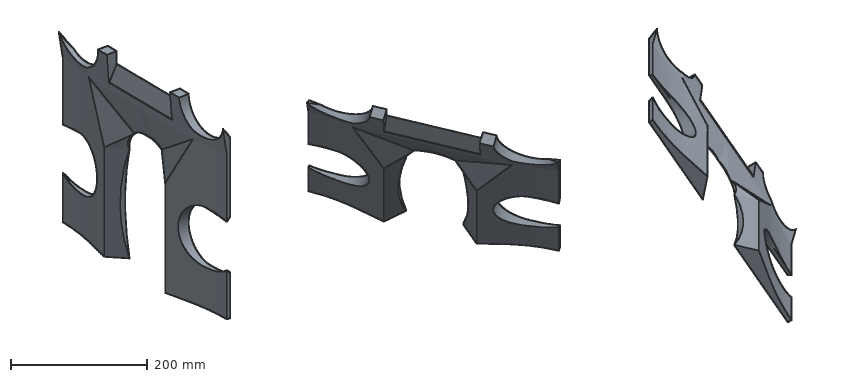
import cadquery as cq
import math

width = 381
height = 335.5
half = width / 2
edge_depth = 6.5
ridge_depth = 26.0
thin = 0.5

ridge_x = 70.5
ridge_top_z = 184.0
shoulder_x = 120.8
shoulder_z = 276.0
shoulder_depth = 14.0
wing_sag_x = 156.2
wing_sag_depth = 8.5
top_edge_depth = 16.5
top_sag_depth = 17.0
top_depth = 18.5

slot_half = 43.0
slot_bulge_half = 53.0
slot_bulge_z = 106.5
slot_spring_z = 184.0
arch_x = 31.2
arch_z = 215.0
arch_top_z = 223.3

notch_x = 143.3
notch_z = 336.5
notch_radius = 49.0
hole_inner_x = 94.0
hole_z = 119.5
hole_top_z = 170.0
hole_bottom_x = 150.5
hole_bottom_z = 69.5
hole_edge_top_z = 164.0
hole_edge_bottom_z = 83.0
hole_flank_x = 172.5
hole_flank_rise = 0.25
hole_flare = 7.0
flare_inner_x = 146.5
flare_inner_z = 287.3
flare_edge_z = 303.3
flare_depth = 13.7
flare_end_x = 165.0
tip_z = 321.0
bar_half = 73.0
bar_bottom_z = 288.0
bar_top_z = 314.5
margin = 19


def column(corners):
    """Solid from the back face to a triangle given as (x, depth, z) corners."""
    front = [cq.Vector(x, -depth, z) for x, depth, z in corners]
    back = [cq.Vector(x, 0, z) for x, depth, z in corners]
    loops = [front, back]
    for i in range(3):
        j = (i + 1) % 3
        loops.append([front[i], front[j], back[j]])
        loops.append([front[i], back[j], back[i]])
    faces = [cq.Face.makeFromWires(cq.Wire.makePolygon(loop, close=True)) for loop in loops]
    return cq.Workplane(cq.Solid.makeSolid(cq.Shell.makeShell(faces)).fix())


def wing():
    """Concave wing outside the ridge, with the inner flank below the arch."""
    profile = (
        cq.Workplane("XY")
        .moveTo(-half, 0)
        .lineTo(-half, -edge_depth)
        .threePointArc((-wing_sag_x, -wing_sag_depth), (-shoulder_x, -shoulder_depth))
        .lineTo(-ridge_x, -ridge_depth)
        .lineTo(-ridge_x, 0)
        .close()
        .extrude(shoulder_z)
    )
    inside = (
        cq.Workplane("XZ")
        .polyline([(-shoulder_x, shoulder_z), (-ridge_x, ridge_top_z), (-ridge_x, shoulder_z)])
        .close()
        .extrude(ridge_depth + margin)
    )
    flank = (
        cq.Workplane("XY")
        .polyline([(-ridge_x, 0), (-ridge_x, -ridge_depth), (-slot_half, -thin), (-slot_half, 0)])
        .close()
        .extrude(ridge_top_z)
    )
    return profile.cut(inside).union(flank)


def center_web():
    """Facets falling from the ridge and shoulder to the arch of the slot."""
    shoulder = (-shoulder_x, shoulder_depth, shoulder_z)
    ridge = (-ridge_x, ridge_depth, ridge_top_z)
    spring = (-slot_half, thin, slot_spring_z)
    haunch = (-arch_x, thin, arch_z)
    crown = (0, thin, arch_top_z)
    middle = (0, shoulder_depth, shoulder_z)
    web = column([ridge, spring, haunch])
    for corners in ([shoulder, ridge, haunch], [shoulder, haunch, middle], [haunch, crown, middle]):
        web = web.union(column(corners))
    return web


def top_section(plane, outer, sag, inner):
    return (
        plane.moveTo(-half, 0)
        .lineTo(-half, -outer)
        .threePointArc((-wing_sag_x, -sag), (-shoulder_x, -inner))
        .lineTo(0, -inner)
        .lineTo(0, 0)
        .close()
    )


def top_band():
    """Band above the shoulder, thickening upward."""
    lower = top_section(
        cq.Workplane("XY").workplane(offset=shoulder_z), edge_depth, wing_sag_depth, shoulder_depth
    )
    upper = top_section(
        lower.workplane(offset=height - shoulder_z), top_edge_depth, top_sag_depth, top_depth
    )
    return upper.loft(ruled=True, combine=True)


def flare_section(plane, inner_x, inner_z, edge_z):
    slope = (edge_z - inner_z) / (half - inner_x)
    return plane.polyline([
        (-inner_x, inner_z),
        (-half - margin, edge_z + slope * margin),
        (-half - margin, height + margin),
        (-inner_x, height + margin),
    ]).close()


def notch():
    """Round notch beside the horn, flared toward the back under the wing tip."""
    plane = cq.Workplane("XZ")
    round_cut = plane.center(-notch_x, notch_z).circle(notch_radius).extrude(ridge_depth + margin)
    flare_end_z = notch_z - math.sqrt(notch_radius**2 - (flare_end_x - notch_x) ** 2)
    back = flare_section(plane, flare_inner_x, flare_inner_z, flare_edge_z)
    front = flare_section(back.workplane(offset=flare_depth), flare_end_x, flare_end_z, tip_z)
    return round_cut.union(front.loft(ruled=True, combine=True))


def hole_section(plane, flare):
    top_z = hole_edge_top_z + flare
    bottom_z = hole_edge_bottom_z - flare
    flank_z = hole_bottom_z + hole_flank_rise * (bottom_z - hole_bottom_z)
    return (
        plane.moveTo(-half - margin, top_z)
        .lineTo(-half, top_z)
        .lineTo(-notch_x, hole_top_z)
        .threePointArc((-hole_inner_x, hole_z), (-hole_bottom_x, hole_bottom_z))
        .threePointArc((-hole_flank_x, flank_z), (-half, bottom_z))
        .lineTo(-half - margin, bottom_z)
        .close()
    )


def side_hole():
    """Open-sided hole, flared at the back of the outer edge."""
    back = hole_section(cq.Workplane("XZ"), hole_flare)
    flared = hole_section(back.workplane(offset=edge_depth), 0).loft(ruled=True, combine=True)
    straight = hole_section(cq.Workplane("XZ").workplane(offset=edge_depth), 0).extrude(ridge_depth)
    return flared.union(straight)


def slot():
    return (
        cq.Workplane("XZ")
        .moveTo(-slot_half, 0)
        .threePointArc((-slot_bulge_half, slot_bulge_z), (-slot_half, slot_spring_z))
        .threePointArc((-arch_x, arch_z), (0, arch_top_z))
        .lineTo(0, 0)
        .close()
        .extrude(ridge_depth + margin)
    )


def bar_bevel():
    """Space above the bar's bevel, which runs up to the back face."""
    return (
        cq.Workplane("YZ")
        .polyline([
            (0, bar_top_z),
            (-shoulder_depth, bar_bottom_z),
            (-ridge_depth - margin, bar_bottom_z),
            (-ridge_depth - margin, height + margin),
            (0, height + margin),
        ])
        .close()
        .extrude(-bar_half)
    )


left = wing().union(center_web()).union(top_band())
for cutter in (notch(), side_hole(), slot(), bar_bevel()):
    left = left.cut(cutter)

result = left.union(left.mirror("YZ"))